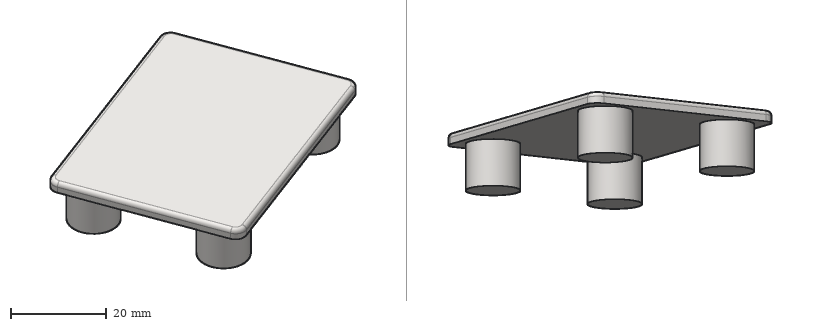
import cadquery as cq

plate_width = 45.0
plate_length = 60.0
plate_thickness = 2.5
corner_radius = 2.5
top_edge_radius = 1.0

overall_height = 12.5
leg_height = overall_height - plate_thickness
leg_diameter = 11.5
leg_inset = 7.5
leg_spacing_x = plate_width - 2 * leg_inset
leg_spacing_y = plate_length - 2 * leg_inset


def make_plate():
    """Plate with rounded corners and a rounded top edge, resting on Z = 0."""
    return (
        cq.Workplane("XY")
        .rect(plate_width, plate_length)
        .extrude(plate_thickness)
        .edges("|Z")
        .fillet(corner_radius)
        .faces(">Z")
        .edges()
        .fillet(top_edge_radius)
    )


def make_legs():
    """Four round legs hanging below the plate."""
    return (
        cq.Workplane("XY")
        .rect(leg_spacing_x, leg_spacing_y, forConstruction=True)
        .vertices()
        .circle(leg_diameter / 2)
        .extrude(-leg_height)
    )


result = make_plate().union(make_legs())